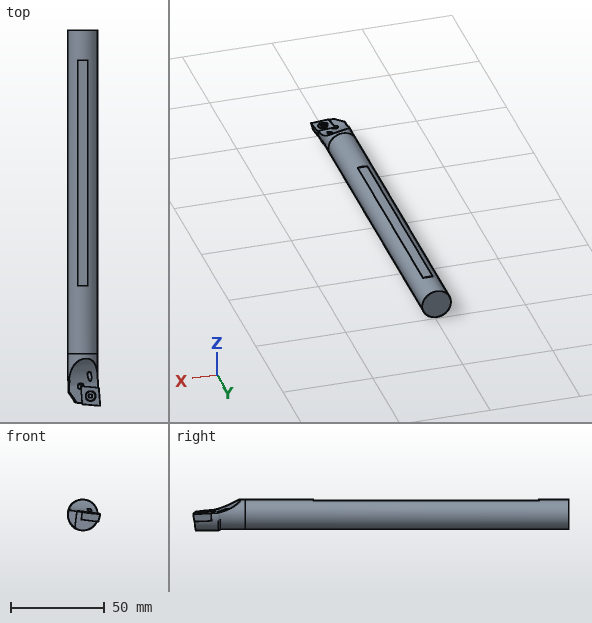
import cadquery as cq
import math

shank_diameter = 16.0
shank_end = 200.1
seam_y = 27.8
flat_width = 5.5
flat_start = 64.0
flat_end = 184.1
flat_z = math.sqrt((shank_diameter / 2) ** 2 - (flat_width / 2) ** 2)

nose_end = 13.5
nose_shift_x = 0.2
nose_drop = 0.6
nose_blend = 1.2

tip_x = 9.5
radial_slope = 0.12
axial_slope = 0.04
tool_plane = cq.Plane(
    origin=(tip_x, 0, 0),
    xDir=(1, 0, -radial_slope),
    normal=(radial_slope, -axial_slope, 1),
)

insert_width = 9.6
insert_thickness = 4.0
insert_angle = 80.0
relief_angle = 7.0
corner_radius = 0.5
corner_overhang = 0.05
edge_direction = 95.0
insert_side = insert_width / math.sin(math.radians(insert_angle))

bore_diameter = 4.5
countersink_diameter = 5.5
countersink_depth = 1.0
screw_head_diameter = 5.0
screw_diameter = 4.0
screw_length = 6.0
socket_diameter = 2.0
socket_depth = 1.0
screw_sink = (
    countersink_depth
    * (countersink_diameter - screw_head_diameter)
    / (countersink_diameter - bore_diameter)
)

chip_flat_end = 11.5
chip_arc_middle = (19.0, 2.2)
chip_arc_end = (27.2, 7.6)
chip_yaw = 8.0
clearance = 40.0

bevel_start = (-17.8, 8.8)
bevel_end = (-13.6, 3.2)
front_left = (-12.6, 1.6)
front_right = (0.0, 0.5)

pocket_relief_diameter = 3.2

coolant_diameter = 2.0
coolant_mouth = (3.6, 16.5, 2.2)
coolant_direction = (-0.2, 1.0, -0.05)
coolant_length = 12.0
coolant_overrun = 6.0


def polar(length, angle):
    """Vector of the given length and direction in degrees."""
    return cq.Vector(
        length * math.cos(math.radians(angle)),
        length * math.sin(math.radians(angle)),
    )


sharp_corner = cq.Vector(corner_overhang, -corner_overhang)
side_edge = polar(insert_side, edge_direction)
front_edge = polar(insert_side, edge_direction + insert_angle)
inner_corner = sharp_corner + side_edge + front_edge
insert_center = (sharp_corner + inner_corner) * 0.5


def on_tool_plane(point):
    """Tool plane workplane with its center moved to the given point."""
    return cq.Workplane(tool_plane).center(point.x, point.y)


def rhombus():
    """Insert outline on the tool plane, with sharp corners."""
    corners = [
        sharp_corner,
        sharp_corner + side_edge,
        inner_corner,
        sharp_corner + front_edge,
    ]
    return cq.Workplane(tool_plane).polyline([(c.x, c.y) for c in corners]).close()


def bar(radius, start, end, x=0.0, z=0.0):
    """Round bar along Y."""
    return (
        cq.Workplane("XZ", origin=(x, end, z))
        .circle(radius)
        .extrude(end - start)
    )


def make_shank():
    shank = bar(shank_diameter / 2, seam_y, shank_end)
    flat_cut = cq.Workplane("XY", origin=(0, flat_start, flat_z)).box(
        flat_width, flat_end - flat_start, shank_diameter, centered=(True, False, False)
    )
    return shank.cut(flat_cut)


def chip_clearance():
    """Space above the tool plane, ending in a concave run-out towards the shank."""
    turned_plane = tool_plane.rotated((0, 0, chip_yaw))
    turned_plane.origin = tool_plane.toWorldCoords((-tip_x, 0))
    side_plane = cq.Plane(
        origin=turned_plane.toWorldCoords((-clearance, 0)).toTuple(),
        xDir=turned_plane.yDir,
        normal=turned_plane.xDir,
    )
    return (
        cq.Workplane(side_plane)
        .moveTo(-clearance, 0)
        .lineTo(chip_flat_end, 0)
        .threePointArc(chip_arc_middle, chip_arc_end)
        .lineTo(chip_arc_end[0], clearance)
        .lineTo(-clearance, clearance)
        .close()
        .extrude(2 * clearance)
    )


def nose_trim():
    """Space in front of the nose outline, square to the tool plane."""
    bevel_dx = bevel_start[0] - bevel_end[0]
    bevel_dy = bevel_start[1] - bevel_end[1]
    front_slope = (front_left[1] - front_right[1]) / (front_left[0] - front_right[0])
    return (
        cq.Workplane(tool_plane)
        .moveTo(bevel_start[0] + bevel_dx, bevel_start[1] + bevel_dy)
        .lineTo(*bevel_end)
        .lineTo(*front_left)
        .lineTo(clearance, front_right[1] + front_slope * clearance)
        .lineTo(clearance, -clearance)
        .lineTo(bevel_start[0] + bevel_dx, -clearance)
        .close()
        .extrude(clearance, both=True)
    )


def insert_pocket():
    relief = on_tool_plane(inner_corner).circle(pocket_relief_diameter / 2)
    return rhombus().extrude(-insert_thickness).union(relief.extrude(-insert_thickness))


def coolant_hole():
    axis = cq.Vector(*coolant_direction).normalized()
    start = cq.Vector(*coolant_mouth) - axis * coolant_overrun
    return cq.Workplane(
        cq.Solid.makeCylinder(
            coolant_diameter / 2, coolant_length + coolant_overrun, start, axis
        )
    )


def make_head():
    neck = bar(shank_diameter / 2, nose_end + nose_blend, seam_y)
    nose = bar(shank_diameter / 2, 0, nose_end, nose_shift_x, -nose_drop)
    blend = (
        cq.Workplane("XZ", origin=(0, nose_end + nose_blend, 0))
        .circle(shank_diameter / 2)
        .workplane(offset=nose_blend)
        .center(nose_shift_x, -nose_drop)
        .circle(shank_diameter / 2)
        .loft()
    )
    screw_hole = on_tool_plane(insert_center).circle(screw_diameter / 2)
    return (
        neck.union(blend)
        .union(nose)
        .cut(chip_clearance())
        .cut(nose_trim())
        .cut(insert_pocket())
        .cut(screw_hole.extrude(-screw_sink - screw_length))
        .cut(coolant_hole())
    )


def countersink_cone():
    """Cone frustum narrowing from the insert top to its bore."""
    return (
        on_tool_plane(insert_center)
        .circle(countersink_diameter / 2)
        .workplane(offset=-countersink_depth)
        .circle(bore_diameter / 2)
        .loft()
    )


def make_insert():
    insert = rhombus().extrude(-insert_thickness, taper=relief_angle)
    upright_edges = [
        edge
        for edge in insert.edges().vals()
        if abs(edge.tangentAt(0.5).dot(tool_plane.zDir)) > math.sin(math.radians(45))
    ]
    insert = insert.newObject(upright_edges).fillet(corner_radius)
    bore = on_tool_plane(insert_center).circle(bore_diameter / 2).extrude(-insert_thickness)
    return insert.cut(bore).cut(countersink_cone())


def make_screw():
    top = on_tool_plane(insert_center).workplane(offset=-screw_sink)
    stem = top.circle(screw_diameter / 2).extrude(-screw_length)
    above_head = on_tool_plane(insert_center).circle(countersink_diameter).extrude(-screw_sink)
    socket = top.circle(socket_diameter / 2).extrude(-socket_depth)
    return stem.union(countersink_cone().cut(above_head)).cut(socket)


shank = make_shank().solids()
head = make_head().solids()
insert = make_insert().solids()
screw = make_screw().solids()

result = cq.Compound.makeCompound([shank.val(), head.val(), insert.val(), screw.val()])